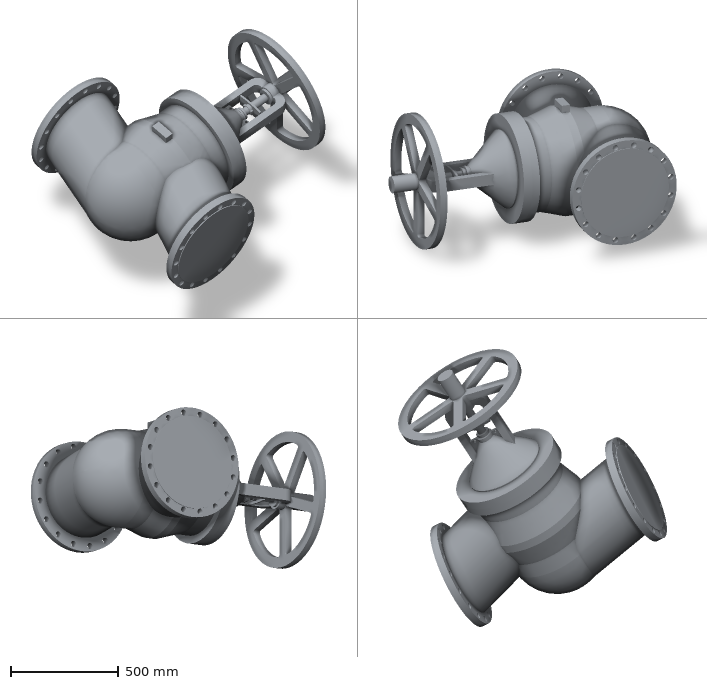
import cadquery as cq
import math


FACE_TO_FACE = 980.0
FLANGE_DIA = 520.0
FLANGE_THICKNESS = 36.0
RAISED_FACE_DIA = 438.0
RAISED_FACE_HEIGHT = 4.0
BORE_DIA = 350.0
BOLT_CIRCLE_DIA = 470.0
BOLT_HOLE_DIA = 28.0
BOLT_COUNT = 16
BRANCH_DIA = 390.0
INLET_ANGLE = 14.1
OUTLET_ANGLE = 20.2

BODY_BOTTOM_Y = -308.0
BOWL_RADIUS = 230.0
BOWL_CENTRE_Y = BODY_BOTTOM_Y + BOWL_RADIUS
BOWL_TOP_Y = 0.0
BELLY_RADIUS = FLANGE_DIA / 2
BELLY_BOTTOM_Y = 101.5
BELLY_TOP_Y = 142.5
NECK_RADIUS = 224.0
NECK_BOTTOM_Y = 261.0

BONNET_FLANGE_DIA = 520.0
BODY_FLANGE_BOTTOM_Y = 334.0
JOINT_Y = 372.0
BONNET_FLANGE_TOP_Y = 414.0

CONE_BASE_RADIUS = 186.0
CONE_BASE_Y = 421.0
CONE_TOP_RADIUS = 40.0
CONE_TOP_Y = 589.0

PACKING_BOX_RADIUS = 40.0
PACKING_NECK_RADIUS = 38.0
PACKING_BOX_BOTTOM_Y = 600.5
PACKING_BOX_TOP_Y = 609.5
STEM_RADIUS = 20.0
GLAND_NECK_RADIUS = 28.0
GLAND_RIM_RADIUS = 32.0
GLAND_RIM_BOTTOM_Y = 616.0
GLAND_RIM_TOP_Y = 626.0
STEM_COLLAR_RADIUS = 24.0
STEM_COLLAR_BOTTOM_Y = 653.0
STEM_TAB_LENGTH = 56.0
STEM_TAB_HEIGHT = 24.0
STEM_TAB_TOP_Y = 664.5
GLAND_PLATE_LENGTH = 138.0
GLAND_PLATE_HEIGHT = 70.0
GLAND_PLATE_END_HEIGHT = 60.0
GLAND_PLATE_BOTTOM_Y = 669.5
GLAND_PLATE_TOP_Y = 679.0

YOKE_WIDTH = 218.0
YOKE_LEG = 34.0
YOKE_BAR = 40.0
YOKE_HEIGHT = 55.0
YOKE_TOP_Y = 820.0
YOKE_OUTER_CORNER = 50.0
YOKE_INNER_CORNER = 28.0
YOKE_HUB_RADIUS = 48.0

BRACKET_TOP_Y = 608.5
BRACKET_THICKNESS = 16.0
BRACKET_HOLE_DIA = 12.0
BRACKET_HOLE_SPACING = 109.0
BRACKET_HOLE_Y = 598.5

SLEEVE_RADIUS = 40.0
SLEEVE_BOTTOM_Y = 768.0
SLEEVE_TOP_Y = 975.06
WHEEL_DIA = 640.0
WHEEL_THICKNESS = 35.0
WHEEL_RIM_INNER_RADIUS = 270.0
WHEEL_WINDOW_CORNER = 12.0
SPOKE_COUNT = 5
SPOKE_WIDTH = 48.0

DIRECTION_PLATE_WIDTH = 96.0
DIRECTION_PLATE_TOP_Z = 293.0


def plane_across_y(y):
    """Workplane normal to +Y at height y, with local x along +X."""
    return cq.Workplane(cq.Plane((0, y, 0), (1, 0, 0), (0, 1, 0)))


def disc(radius, bottom_y, top_y):
    """Solid cylinder on the stem axis."""
    return plane_across_y(bottom_y).circle(radius).extrude(top_y - bottom_y)


def body():
    """Bowl, belly and neck, turned about the stem axis."""
    diagonal = BOWL_RADIUS * math.sqrt(0.5)
    profile = (
        cq.Workplane("XY")
        .moveTo(0, BODY_BOTTOM_Y)
        .threePointArc((diagonal, BOWL_CENTRE_Y - diagonal), (BOWL_RADIUS, BOWL_CENTRE_Y))
        .lineTo(BOWL_RADIUS, BOWL_TOP_Y)
        .lineTo(BELLY_RADIUS, BELLY_BOTTOM_Y)
        .lineTo(BELLY_RADIUS, BELLY_TOP_Y)
        .lineTo(NECK_RADIUS, NECK_BOTTOM_Y)
        .lineTo(NECK_RADIUS, BODY_FLANGE_BOTTOM_Y)
        .lineTo(0, BODY_FLANGE_BOTTOM_Y)
        .close()
    )
    return profile.revolve(360, (0, 0, 0), (0, 1, 0))


def bonnet_cone():
    """Cone standing on a short cylindrical foot."""
    profile = (
        cq.Workplane("XY")
        .moveTo(0, BONNET_FLANGE_TOP_Y)
        .lineTo(CONE_BASE_RADIUS, BONNET_FLANGE_TOP_Y)
        .lineTo(CONE_BASE_RADIUS, CONE_BASE_Y)
        .lineTo(CONE_TOP_RADIUS, CONE_TOP_Y)
        .lineTo(0, CONE_TOP_Y)
        .close()
    )
    return profile.revolve(360, (0, 0, 0), (0, 1, 0))


def stem_parts():
    """Flanges, packing box, gland, stem, sleeve and yoke hub, as separate discs."""
    flange_radius = BONNET_FLANGE_DIA / 2
    steps = [
        (flange_radius, BODY_FLANGE_BOTTOM_Y, JOINT_Y),
        (flange_radius, JOINT_Y, BONNET_FLANGE_TOP_Y),
        (PACKING_NECK_RADIUS, CONE_TOP_Y, PACKING_BOX_BOTTOM_Y),
        (PACKING_BOX_RADIUS, PACKING_BOX_BOTTOM_Y, PACKING_BOX_TOP_Y),
        (GLAND_NECK_RADIUS, PACKING_BOX_TOP_Y, GLAND_RIM_BOTTOM_Y),
        (GLAND_RIM_RADIUS, GLAND_RIM_BOTTOM_Y, GLAND_RIM_TOP_Y),
        (STEM_RADIUS, GLAND_RIM_TOP_Y, SLEEVE_BOTTOM_Y),
        (STEM_COLLAR_RADIUS, STEM_COLLAR_BOTTOM_Y, GLAND_PLATE_BOTTOM_Y),
        (SLEEVE_RADIUS, SLEEVE_BOTTOM_Y, SLEEVE_TOP_Y),
        (YOKE_HUB_RADIUS, YOKE_TOP_Y - YOKE_BAR, YOKE_TOP_Y),
    ]
    return [disc(*step) for step in steps]


def gland_plate():
    """Plate with flat ends, its long sides bulging in shallow arcs."""
    half_length = GLAND_PLATE_LENGTH / 2
    half_height = GLAND_PLATE_HEIGHT / 2
    half_end = GLAND_PLATE_END_HEIGHT / 2
    return (
        plane_across_y(GLAND_PLATE_BOTTOM_Y)
        .moveTo(-half_length, half_end)
        .threePointArc((0, half_height), (half_length, half_end))
        .lineTo(half_length, -half_end)
        .threePointArc((0, -half_height), (-half_length, -half_end))
        .close()
        .extrude(GLAND_PLATE_TOP_Y - GLAND_PLATE_BOTTOM_Y)
    )


def stem_tab():
    """Flat bar through the stem collar, standing out on both sides."""
    return (
        plane_across_y(STEM_COLLAR_BOTTOM_Y)
        .rect(STEM_TAB_LENGTH, STEM_TAB_HEIGHT)
        .extrude(STEM_TAB_TOP_Y - STEM_COLLAR_BOTTOM_Y)
    )


def arch(width, top_y, corner):
    """Block from the bonnet flange up to top_y, with its two upper corners rounded."""
    length = top_y - BONNET_FLANGE_TOP_Y
    return (
        cq.Workplane("XY")
        .center(0, BONNET_FLANGE_TOP_Y + length / 2)
        .rect(width, length)
        .extrude(YOKE_HEIGHT / 2, both=True)
        .edges("|Z and >Y")
        .fillet(corner)
    )


def yoke():
    """Arch whose legs run down into the bonnet cone."""
    outer = arch(YOKE_WIDTH, YOKE_TOP_Y, YOKE_OUTER_CORNER)
    opening = arch(YOKE_WIDTH - 2 * YOKE_LEG, YOKE_TOP_Y - YOKE_BAR, YOKE_INNER_CORNER)
    return outer.cut(opening)


def bracket_plate():
    """Thin plate joining the yoke legs across the cone top, with two holes."""
    height = BRACKET_TOP_Y - BONNET_FLANGE_TOP_Y
    half_spacing = BRACKET_HOLE_SPACING / 2
    plate = (
        cq.Workplane("XY")
        .center(0, BONNET_FLANGE_TOP_Y + height / 2)
        .rect(YOKE_WIDTH - 2 * YOKE_LEG, height)
        .extrude(BRACKET_THICKNESS / 2, both=True)
    )
    holes = (
        cq.Workplane("XY")
        .pushPoints([(-half_spacing, BRACKET_HOLE_Y), (half_spacing, BRACKET_HOLE_Y)])
        .circle(BRACKET_HOLE_DIA / 2)
        .extrude(BRACKET_THICKNESS, both=True)
    )
    return plate.cut(holes)


def handwheel():
    """Flat wheel with round-cornered windows between the spokes, one spoke along -Z."""
    bottom_y = YOKE_TOP_Y
    top_y = bottom_y + WHEEL_THICKNESS
    windows = disc(WHEEL_RIM_INNER_RADIUS, bottom_y, top_y)
    spoke = cq.Workplane("XY").box(
        SPOKE_WIDTH, WHEEL_THICKNESS, WHEEL_DIA / 2, centered=(True, False, False)
    )
    spoke = spoke.rotate((0, 0, 0), (1, 0, 0), 180).translate((0, top_y, 0))
    for i in range(SPOKE_COUNT):
        windows = windows.cut(spoke.rotate((0, 0, 0), (0, 1, 0), i * 360 / SPOKE_COUNT))
    windows = windows.edges("|Y").fillet(WHEEL_WINDOW_CORNER)
    return disc(WHEEL_DIA / 2, bottom_y, top_y).cut(windows)


def direction_plate():
    """Rectangular pad rising from inside the body, through the belly, to a flat top."""
    width_y = BELLY_TOP_Y - BELLY_BOTTOM_Y
    return (
        cq.Workplane("XY")
        .center(0, BELLY_BOTTOM_Y + width_y / 2)
        .rect(DIRECTION_PLATE_WIDTH, width_y)
        .extrude(DIRECTION_PLATE_TOP_Z)
    )


def branch(side, end_angle):
    """Inclined pipe from the back of a line flange to the stem axis.

    side is -1 for the inlet and +1 for the outlet; end_angle is the rise
    of the branch axis towards +Y, in degrees, going inwards.
    """
    back_x = FACE_TO_FACE / 2 - RAISED_FACE_HEIGHT - FLANGE_THICKNESS
    slope = math.radians(end_angle)
    inner_end = (0, back_x * math.tan(slope), 0)
    outward = (side * math.cos(slope), -math.sin(slope), 0)
    pipe = (
        cq.Workplane(cq.Plane(inner_end, (0, 0, 1), outward))
        .circle(BRANCH_DIA / 2)
        .extrude(FACE_TO_FACE)
    )
    inside_flanges = cq.Workplane("XY").box(2 * back_x, 2 * FACE_TO_FACE, FACE_TO_FACE)
    return pipe.intersect(inside_flanges)


def line_flange(side):
    """Drilled flange with a raised face and a closed bore; side is -1 or +1 along X."""
    back_x = FACE_TO_FACE / 2 - RAISED_FACE_HEIGHT - FLANGE_THICKNESS
    plane = cq.Plane((side * back_x, 0, 0), (0, 1, 0), (side, 0, 0))
    flange = cq.Workplane(plane).circle(FLANGE_DIA / 2).extrude(FLANGE_THICKNESS)
    total = FLANGE_THICKNESS + RAISED_FACE_HEIGHT
    face_ring = (
        cq.Workplane(plane)
        .circle(RAISED_FACE_DIA / 2)
        .circle(BORE_DIA / 2)
        .extrude(total)
    )
    bore_plug = cq.Workplane(plane).circle(BORE_DIA / 2).extrude(total)
    holes = (
        cq.Workplane(plane)
        .polarArray(BOLT_CIRCLE_DIA / 2, 180 / BOLT_COUNT, 360, BOLT_COUNT)
        .circle(BOLT_HOLE_DIA / 2)
        .extrude(total)
    )
    flange = flange.union(face_ring, clean=False).union(bore_plug, clean=False)
    return flange.cut(holes, clean=False)


pieces = [
    branch(-1, -INLET_ANGLE),
    branch(1, OUTLET_ANGLE),
    line_flange(-1),
    line_flange(1),
    bonnet_cone(),
    *stem_parts(),
    gland_plate(),
    stem_tab(),
    yoke(),
    bracket_plate(),
    handwheel(),
    direction_plate(),
]

result = body()
for piece in pieces:
    result = result.union(piece, clean=False)